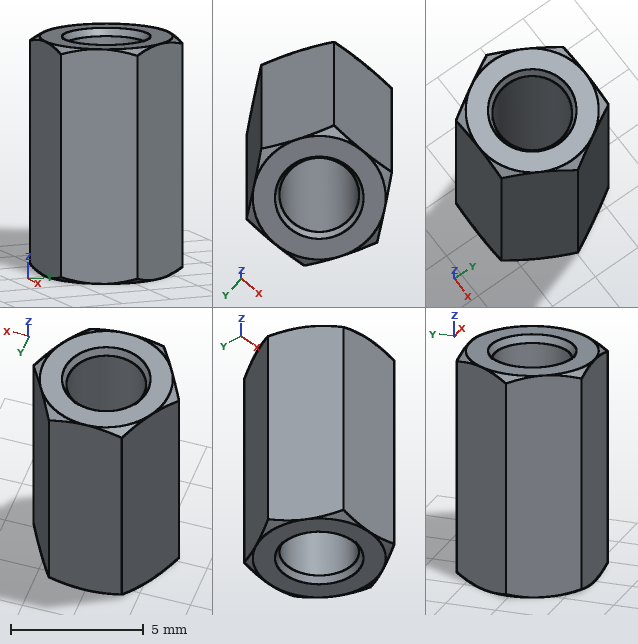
import cadquery as cq
import math

length = 9.0
across_corners = 5.78
across_flats = 5.01
bore_diameter = 3.0
countersink_diameter = 3.33
corner_chamfer_angle = 30.0
countersink_angle = 60.0

corner_radius = across_corners / 2
face_radius = corner_radius * math.cos(math.radians(30))
corner_drop = (corner_radius - face_radius) * math.tan(math.radians(corner_chamfer_angle))
bore_radius = bore_diameter / 2
countersink_radius = countersink_diameter / 2
countersink_depth = (countersink_radius - bore_radius) * math.tan(math.radians(countersink_angle))


def hexagonal_bar():
    """Hexagonal prism with two corners on the X axis."""
    half_side = corner_radius / 2
    half_flats = across_flats / 2
    outline = [
        (corner_radius, 0),
        (half_side, half_flats),
        (-half_side, half_flats),
        (-corner_radius, 0),
        (-half_side, -half_flats),
        (half_side, -half_flats),
    ]
    return cq.Workplane("XY").polyline(outline).close().extrude(length)


def turned_envelope():
    """Bored round body whose profile bevels the hexagon corners and the bore mouths."""
    profile = [
        (bore_radius, countersink_depth),
        (countersink_radius, 0),
        (face_radius, 0),
        (corner_radius, corner_drop),
        (corner_radius, length - corner_drop),
        (face_radius, length),
        (countersink_radius, length),
        (bore_radius, length - countersink_depth),
    ]
    return cq.Workplane("XZ").polyline(profile).close().revolve(360, (0, 0, 0), (0, 1, 0))


result = hexagonal_bar().intersect(turned_envelope())